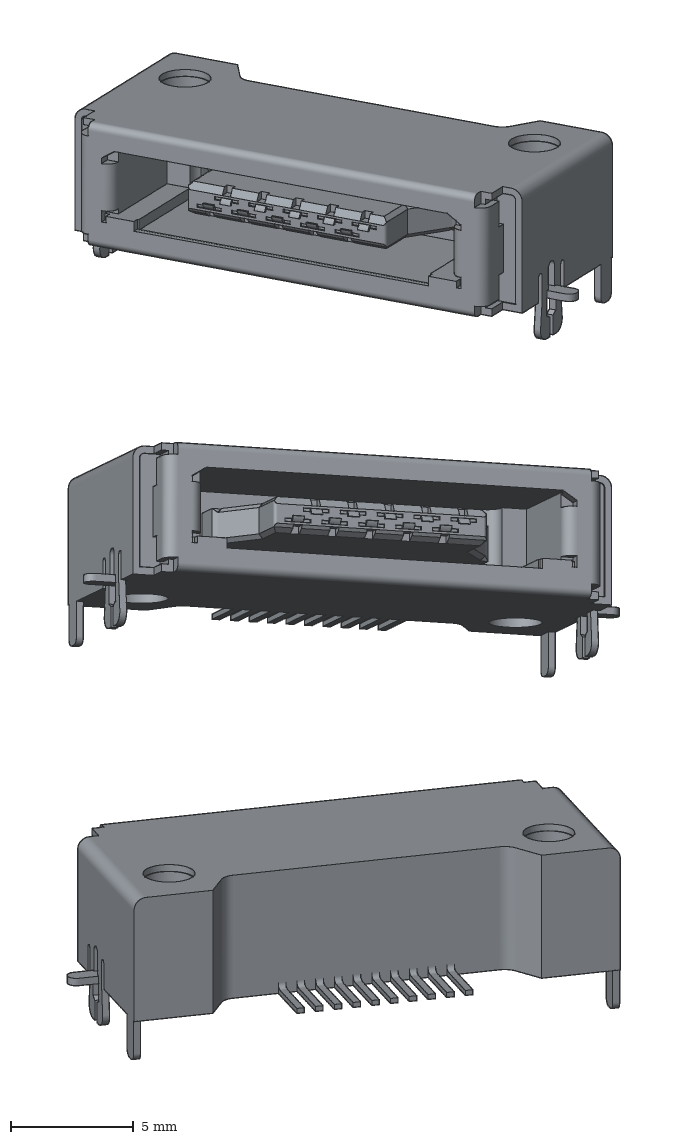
import cadquery as cq
import math


SHEET = 0.3
SHELL_HALF_WIDTH = 10.4
SHELL_HEIGHT = 5.34
SHEET_LIP = 0.035
SHELL_REAR = 9.16
SIDE_WALL_FRONT = 1.48
BEND_RADIUS = 0.5
FLOOR = 0.32
INNER_HALF_WIDTH = SHELL_HALF_WIDTH - SHEET
FULL_FILLET = 0.99

FRAME_HALF_WIDTH = 9.5
CORNER_RELIEF_DEPTH = 0.55
CORNER_RELIEF_HEIGHT = 0.53
HOUSING_SETBACK = 0.07
FLAP_END = 1.18
FLAP_BOTTOM = 1.6
FLAP_TOP = 3.7

NOTCH_FLOOR = 7.68
NOTCH_HALF_TOP = 7.03
NOTCH_HALF_FLOOR = 6.08
NOTCH_FILLET = 0.7
HOLE_DIAMETER = 2.1
HOLE_X = 8.12
HOLE_Y = 6.68

MOUTH_HALF_WIDTH = 8.35
MOUTH_TOP = 4.35
MOUTH_CORNER_X = 0.63
MOUTH_CORNER_Z = 0.4
LEDGE_HEIGHT = 1.45
LEDGE_DEPTH = 4.65
KEY_HALF_WIDTH = 6.77
MOUTH_KEY_HALF_WIDTH = 6.85
KEY_FLOOR = 1.05
KEY_DEPTH = 5.34
KEY_FILLET = 0.55
LIP_BOTTOM = 1.67
LIP_TOP = 3.71
LIP_RELIEF_DROP = 0.28
LIP_RELIEF_WIDTH = 0.2
FLOOR_NOTCH_X = 1.23
FLOOR_NOTCH_WIDTH = 0.75
FLOOR_NOTCH_HEIGHT = 0.15

TIP_Y = 0.46
TIP_HALF_WIDTH = 4.62
TIP_CORNER = 0.15
FLARE_START = 2.32
FLARE_END = 3.95
ROOT_HALF_WIDTH = 5.99
TONGUE_BOTTOM = 1.97
TONGUE_TOP = 3.43
TONGUE_EDGE = 0.19
NOSE_HEIGHT = 0.32
NOSE_LENGTH = TONGUE_EDGE
LOWER_NOSE_LENGTH = 0.37
LOWER_NOSE_BREAK = 0.1

CONTACT_COUNT = 10
CONTACT_PITCH = 0.8
TAIL_WIDTH = 0.32
TAIL_THICKNESS = 0.22
TAIL_END = 10.2
TAIL_BEND = 0.23
CONTACT_WIDTH = 0.37
CONTACT_SLOT_DEPTH = 0.42
CONTACT_TIP_WIDTH = 0.49
CONTACT_TIP_HEIGHT = 0.35
CONTACT_TIP_OVERHANG = 0.12
CONTACT_POCKET_WIDTH = 1.11
CONTACT_POCKET_HEIGHT = 0.15
CONTACT_POCKET_DEPTH = 0.1

LEG_DROP = 1.76
REAR_LEG_Y = 8.63
REAR_LEG_WIDTH = 0.9
REAR_LEG_FILLET = 0.32
LOCK_Y = 3.97
LOCK_HALF_WIDTH = 0.8
LOCK_BULGE = 0.93
LOCK_TOE_FILLET = 0.5
LOCK_SPLIT = 0.15
LOCK_SHOULDER_Z = -0.9
SIDE_SLOT_WIDTH = 0.3
SIDE_SLOT_TOP = 1.23
TAB_SLOT_WIDTH = 0.5
TAB_SLOT_TOP = 1.48
TAB_WIDTH = 0.77
TAB_TIP_X = 11.6
TAB_FILLET = 0.37


def block(x0, x1, y0, y1, z0, z1):
    return cq.Workplane("XY").box(x1 - x0, y1 - y0, z1 - z0, centered=False).translate((x0, y0, z0))


def both_sides(solid):
    return solid.union(solid.mirror("YZ"))


def make_body():
    """Closed shell and plastic housing as one block with a stepped front."""
    wide = block(-SHELL_HALF_WIDTH, SHELL_HALF_WIDTH, SIDE_WALL_FRONT, SHELL_REAR, 0, SHELL_HEIGHT)
    wide = wide.edges("|Y and >Z").fillet(BEND_RADIUS)

    housing_front = SIDE_WALL_FRONT + HOUSING_SETBACK
    setback = block(
        -INNER_HALF_WIDTH, INNER_HALF_WIDTH, SIDE_WALL_FRONT, housing_front, FLOOR, SHELL_HEIGHT - SHEET
    )
    wide = wide.cut(setback.edges("|Y and >Z").fillet(BEND_RADIUS - SHEET))

    front = block(-FRAME_HALF_WIDTH, FRAME_HALF_WIDTH, 0, housing_front, 0, SHELL_HEIGHT)
    front = front.edges("|Z and <Y").fillet(BEND_RADIUS)
    flat_half_width = FRAME_HALF_WIDTH - BEND_RADIUS
    corner_top = SHELL_HEIGHT - CORNER_RELIEF_HEIGHT
    for z0, z1 in ((0, CORNER_RELIEF_HEIGHT), (corner_top, SHELL_HEIGHT)):
        relief = block(flat_half_width, FRAME_HALF_WIDTH, 0, CORNER_RELIEF_DEPTH, z0, z1)
        front = front.cut(both_sides(relief))
    front = front.edges("|X and <Y and (<Z or >Z)").fillet(SHEET)

    for z0, z1 in ((FLOOR, CORNER_RELIEF_HEIGHT), (corner_top, SHELL_HEIGHT - SHEET)):
        gap = block(FRAME_HALF_WIDTH - SHEET, FRAME_HALF_WIDTH, CORNER_RELIEF_DEPTH, housing_front, z0, z1)
        front = front.cut(both_sides(gap))

    for z0, z1 in ((FLOOR, FLAP_BOTTOM), (FLAP_TOP, SHELL_HEIGHT - SHEET)):
        step = block(FRAME_HALF_WIDTH - SHEET, FRAME_HALF_WIDTH, FLAP_END, housing_front, z0, z1)
        front = front.cut(both_sides(step))
    return wide.union(front)


def cut_rear_notch(body):
    notch = (
        cq.Workplane("XY")
        .polyline([
            (-NOTCH_HALF_TOP, SHELL_REAR),
            (-NOTCH_HALF_FLOOR, NOTCH_FLOOR),
            (NOTCH_HALF_FLOOR, NOTCH_FLOOR),
            (NOTCH_HALF_TOP, SHELL_REAR),
        ])
        .close()
        .extrude(SHELL_HEIGHT)
        .edges("|Z and <Y")
        .fillet(NOTCH_FILLET)
    )
    return body.cut(notch)


def cut_screw_holes(body):
    """Holes through the top sheet, with slightly wider bores in the plastic below."""
    centres = cq.Workplane("XY").pushPoints([(-HOLE_X, HOLE_Y), (HOLE_X, HOLE_Y)])
    holes = centres.circle(HOLE_DIAMETER / 2).extrude(SHELL_HEIGHT)
    bores = centres.circle(HOLE_DIAMETER / 2 + SHEET_LIP).extrude(SHELL_HEIGHT - SHEET)
    return body.cut(holes).cut(bores)


def cut_mating_cavity(body):
    wall_x = MOUTH_HALF_WIDTH - BEND_RADIUS
    outer = block(-wall_x, wall_x, SHEET, LEDGE_DEPTH, LEDGE_HEIGHT, MOUTH_TOP)
    key = block(-KEY_HALF_WIDTH, KEY_HALF_WIDTH, SHEET, KEY_DEPTH, KEY_FLOOR - SHEET_LIP, MOUTH_TOP)
    key = key.edges("|Z and >Y").fillet(KEY_FILLET)
    key = key.union(block(-MOUTH_KEY_HALF_WIDTH, MOUTH_KEY_HALF_WIDTH, 0, SHEET, KEY_FLOOR, MOUTH_TOP))

    mouth = (
        cq.Workplane("XZ")
        .polyline([
            (-MOUTH_HALF_WIDTH, LEDGE_HEIGHT),
            (MOUTH_HALF_WIDTH, LEDGE_HEIGHT),
            (MOUTH_HALF_WIDTH, MOUTH_TOP - MOUTH_CORNER_Z),
            (MOUTH_HALF_WIDTH - MOUTH_CORNER_X, MOUTH_TOP),
            (MOUTH_CORNER_X - MOUTH_HALF_WIDTH, MOUTH_TOP),
            (-MOUTH_HALF_WIDTH, MOUTH_TOP - MOUTH_CORNER_Z),
        ])
        .close()
        .extrude(-BEND_RADIUS)
    )
    lip = block(wall_x, MOUTH_HALF_WIDTH, 0, BEND_RADIUS, LIP_BOTTOM, LIP_TOP)
    lip = lip.edges("|Z and <X and <Y").fillet(BEND_RADIUS * FULL_FILLET)
    lip_relief = block(
        MOUTH_HALF_WIDTH - LIP_RELIEF_WIDTH, MOUTH_HALF_WIDTH, 0, SHEET,
        LEDGE_HEIGHT - LIP_RELIEF_DROP, LEDGE_HEIGHT,
    )
    floor_notch = block(
        FLOOR_NOTCH_X - FLOOR_NOTCH_WIDTH / 2, FLOOR_NOTCH_X + FLOOR_NOTCH_WIDTH / 2,
        KEY_DEPTH, KEY_DEPTH + SHEET, KEY_FLOOR, KEY_FLOOR + FLOOR_NOTCH_HEIGHT,
    )
    mouth = mouth.cut(both_sides(lip)).union(both_sides(lip_relief))
    return body.cut(outer).cut(key).cut(mouth).cut(both_sides(floor_notch))


def cut_contact_grooves(tongue):
    """Alternate upper and lower contact grooves, each ending in a curled contact tip."""
    for index in range(CONTACT_COUNT):
        x = (index - (CONTACT_COUNT - 1) / 2) * CONTACT_PITCH
        upper = index % 2 == 1
        surface = TONGUE_TOP if upper else TONGUE_BOTTOM
        inward = -1 if upper else 1
        nose_z = surface + inward * NOSE_HEIGHT
        tip_z = nose_z + inward * CONTACT_TIP_HEIGHT
        slot_end = TIP_Y + CONTACT_SLOT_DEPTH
        slot_low, slot_high = sorted((surface, nose_z))
        slot = block(x - CONTACT_WIDTH / 2, x + CONTACT_WIDTH / 2, TIP_Y, slot_end, slot_low, slot_high)

        tip_front = TIP_Y - CONTACT_TIP_OVERHANG
        tip_length = slot_end - tip_front
        curve = math.sqrt(0.5)
        arc_middle = (slot_end - tip_length * curve, tip_z - inward * CONTACT_TIP_HEIGHT * curve)
        tip = (
            cq.Workplane("YZ")
            .moveTo(tip_front, tip_z)
            .threePointArc(arc_middle, (slot_end, nose_z))
            .lineTo(slot_end, tip_z)
            .close()
            .extrude(CONTACT_TIP_WIDTH / 2, both=True)
            .translate((x, 0, 0))
        )
        pocket_z = (nose_z + tip_z) / 2
        pocket = block(
            x - CONTACT_POCKET_WIDTH / 2, x + CONTACT_POCKET_WIDTH / 2,
            TIP_Y, TIP_Y + CONTACT_POCKET_DEPTH,
            pocket_z - CONTACT_POCKET_HEIGHT / 2, pocket_z + CONTACT_POCKET_HEIGHT / 2,
        )
        tongue = tongue.cut(slot).cut(pocket).union(tip)
    return tongue


def make_tongue():
    """Contact tongue: narrow at the tip and flared to a wide root at the cavity back."""
    flare_half_width = ROOT_HALF_WIDTH - TONGUE_EDGE
    root_y = KEY_DEPTH + SHEET
    right_side = [
        (TIP_HALF_WIDTH, TIP_Y),
        (TIP_HALF_WIDTH, FLARE_START),
        (flare_half_width, FLARE_END),
        (flare_half_width, root_y),
    ]
    left_side = [(-x, y) for x, y in reversed(right_side)]
    tongue = (
        cq.Workplane("XY")
        .workplane(offset=TONGUE_BOTTOM)
        .polyline(right_side + left_side)
        .close()
        .extrude(TONGUE_TOP - TONGUE_BOTTOM)
    )
    tongue = tongue.edges("|Z and <Y").fillet(TIP_CORNER)
    tongue = tongue.faces("<Z or >Z").edges().chamfer(TONGUE_EDGE)

    top_nose = [
        (TIP_Y, TONGUE_TOP),
        (TIP_Y + NOSE_LENGTH, TONGUE_TOP),
        (TIP_Y, TONGUE_TOP - NOSE_HEIGHT),
    ]
    bottom_nose = [
        (TIP_Y, TONGUE_BOTTOM),
        (TIP_Y + LOWER_NOSE_LENGTH, TONGUE_BOTTOM),
        (TIP_Y + LOWER_NOSE_BREAK, TONGUE_BOTTOM + TONGUE_EDGE),
        (TIP_Y, TONGUE_BOTTOM + NOSE_HEIGHT),
    ]
    for outline in (top_nose, bottom_nose):
        nose = cq.Workplane("YZ").polyline(outline).close().extrude(ROOT_HALF_WIDTH, both=True)
        tongue = tongue.cut(nose)

    root = block(-ROOT_HALF_WIDTH, ROOT_HALF_WIDTH, FLARE_END, root_y, TONGUE_BOTTOM, TONGUE_TOP)
    root = root.faces("<Y").edges().chamfer(TONGUE_EDGE)
    return cut_contact_grooves(tongue).union(root)


def make_tails():
    """Row of solder tails, each rising into the housing through a rounded heel."""
    heel_z = TAIL_THICKNESS + TAIL_BEND
    heel_y = NOTCH_FLOOR + TAIL_BEND
    curve = TAIL_BEND * math.sqrt(0.5)
    tail = (
        cq.Workplane("YZ")
        .moveTo(NOTCH_FLOOR - TAIL_THICKNESS, 0)
        .lineTo(TAIL_END, 0)
        .lineTo(TAIL_END, TAIL_THICKNESS)
        .lineTo(heel_y, TAIL_THICKNESS)
        .threePointArc((heel_y - curve, heel_z - curve), (NOTCH_FLOOR, heel_z))
        .lineTo(NOTCH_FLOOR - TAIL_THICKNESS, heel_z)
        .close()
        .extrude(TAIL_WIDTH / 2, both=True)
    )
    tails = cq.Workplane("XY")
    for index in range(CONTACT_COUNT):
        x = (index - (CONTACT_COUNT - 1) / 2) * CONTACT_PITCH
        tails = tails.add(tail.translate((x, 0, 0)))
    return tails.combine()


def make_right_legs():
    """Plain rear leg and split locking leg, both in the plane of the right side wall."""
    half_width = REAR_LEG_WIDTH / 2
    rear_leg = block(
        INNER_HALF_WIDTH, SHELL_HALF_WIDTH, REAR_LEG_Y - half_width, REAR_LEG_Y + half_width, -LEG_DROP, FLOOR
    )
    rear_leg = rear_leg.edges("|X and <Z").fillet(REAR_LEG_FILLET)

    lock_inner = TAB_WIDTH / 2
    prong_outline = [
        (lock_inner, FLOOR),
        (LOCK_HALF_WIDTH, FLOOR),
        (LOCK_HALF_WIDTH, 0),
        (LOCK_BULGE, LOCK_TOE_FILLET - LEG_DROP),
        (LOCK_BULGE, -LEG_DROP),
        (LOCK_SPLIT, -LEG_DROP),
        (LOCK_SPLIT, LOCK_SHOULDER_Z),
        (lock_inner, LOCK_SHOULDER_Z + LOCK_SPLIT),
    ]
    legs = rear_leg
    for side in (-1, 1):
        prong = (
            cq.Workplane("YZ")
            .polyline([(LOCK_Y + side * y, z) for y, z in prong_outline])
            .close()
            .extrude(SHEET)
            .translate((INNER_HALF_WIDTH, 0, 0))
        )
        outer_toe = ">Y" if side > 0 else "<Y"
        prong = prong.edges("|X and <Z").edges(outer_toe).fillet(LOCK_TOE_FILLET * FULL_FILLET)
        legs = legs.union(prong)
    return legs


def make_right_tab():
    half_width = TAB_WIDTH / 2
    tab = block(INNER_HALF_WIDTH - SHEET, TAB_TIP_X, LOCK_Y - half_width, LOCK_Y + half_width, 0, FLOOR)
    return tab.edges("|Z and >X").fillet(TAB_FILLET)


def make_right_wall_slot(y, width, top):
    """Round-topped slot through the right side wall, open at the bottom."""
    slot = block(INNER_HALF_WIDTH, SHELL_HALF_WIDTH, y - width / 2, y + width / 2, 0, top - width / 2)
    end = (
        cq.Workplane("YZ")
        .center(y, top - width / 2)
        .circle(width / 2)
        .extrude(SHEET)
        .translate((INNER_HALF_WIDTH, 0, 0))
    )
    return slot.union(end)


def cut_wall_slots(body):
    side_offset = LOCK_HALF_WIDTH + SIDE_SLOT_WIDTH / 2
    slots = make_right_wall_slot(LOCK_Y, TAB_SLOT_WIDTH, TAB_SLOT_TOP)
    for side in (-1, 1):
        slots = slots.union(make_right_wall_slot(LOCK_Y + side * side_offset, SIDE_SLOT_WIDTH, SIDE_SLOT_TOP))
    return body.cut(both_sides(slots))


body = make_body()
body = cut_rear_notch(body)
body = cut_screw_holes(body)
body = cut_mating_cavity(body)
body = cut_wall_slots(body)
body = body.union(make_tongue()).union(make_tails())
result = body.union(both_sides(make_right_legs())).union(both_sides(make_right_tab()))